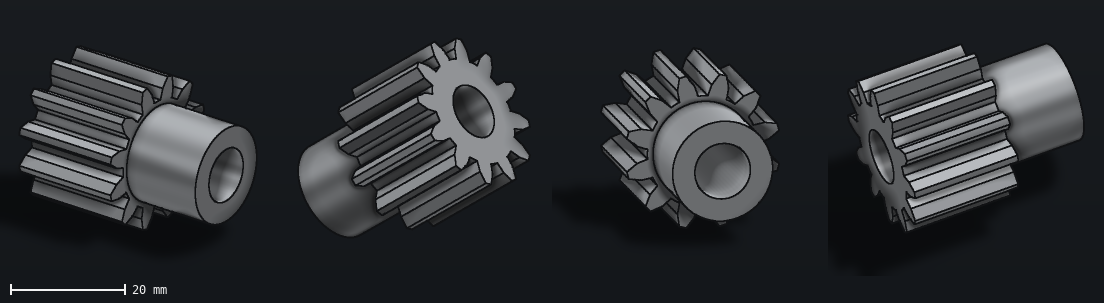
import cadquery as cq
import math

tooth_count = 12
module = 2.0
pitch_radius = module * tooth_count / 2
tip_radius = pitch_radius + module
root_radius = pitch_radius - module
tooth_pitch_angle = 360 / tooth_count

tip_half_angle = 2.72
pitch_half_angle = tooth_pitch_angle / 4
root_half_angle = 10.0

gear_length = 20.0
hub_length = 15.0
hub_diameter = 18.0
bore_diameter = 10.0


def polar(radius, angle):
    """Point in the gear plane at a radius and an angle in degrees."""
    return (radius * math.cos(math.radians(angle)), radius * math.sin(math.radians(angle)))


def make_toothed_rim():
    """Gear whose flanks are two flat facets meeting at the pitch circle."""
    first_center = tooth_pitch_angle / 2
    outline = cq.Workplane("YZ").moveTo(*polar(root_radius, first_center - root_half_angle))
    for tooth in range(tooth_count):
        center = first_center + tooth * tooth_pitch_angle
        gap_middle = center + tooth_pitch_angle / 2
        next_root = center + tooth_pitch_angle - root_half_angle
        outline = (
            outline.lineTo(*polar(pitch_radius, center - pitch_half_angle))
            .lineTo(*polar(tip_radius, center - tip_half_angle))
            .threePointArc(polar(tip_radius, center), polar(tip_radius, center + tip_half_angle))
            .lineTo(*polar(pitch_radius, center + pitch_half_angle))
            .lineTo(*polar(root_radius, center + root_half_angle))
            .threePointArc(polar(root_radius, gap_middle), polar(root_radius, next_root))
        )
    return outline.close().extrude(gear_length)


def make_hub():
    """Plain cylinder extending from the +X end of the gear."""
    return cq.Workplane("YZ", origin=(gear_length, 0, 0)).circle(hub_diameter / 2).extrude(hub_length)


def make_bore():
    """Cylinder that cuts the shaft hole through the gear and the hub."""
    return cq.Workplane("YZ").circle(bore_diameter / 2).extrude(gear_length + hub_length)


result = make_toothed_rim().union(make_hub()).cut(make_bore())